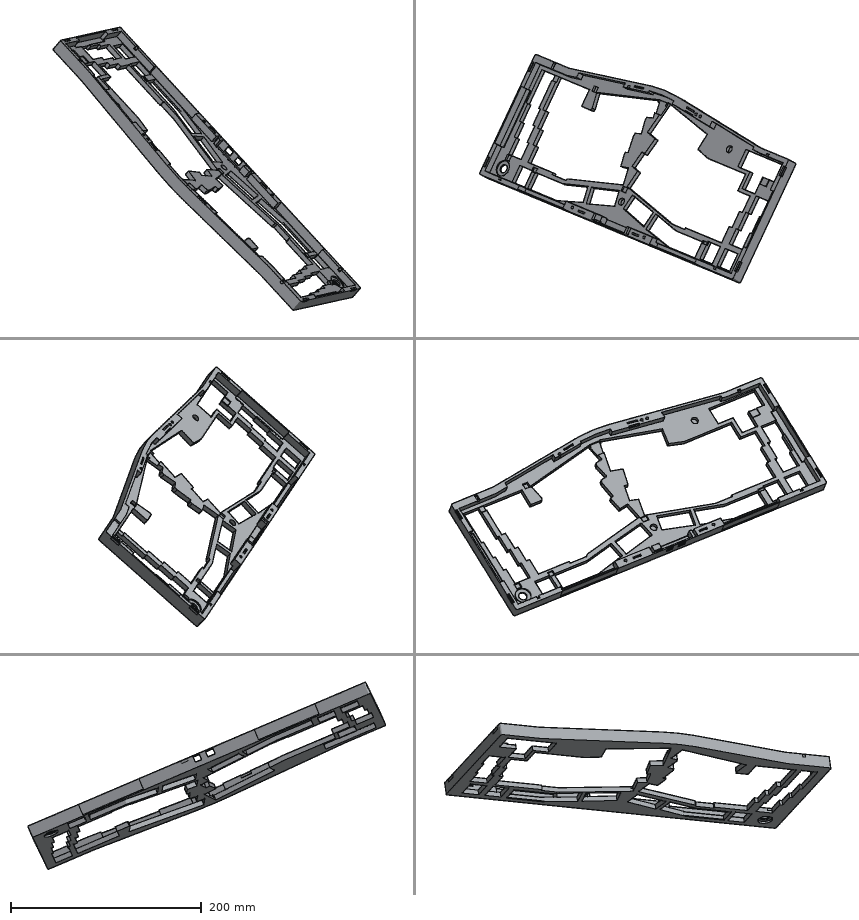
import cadquery as cq

LENGTH = 385.55
DEPTH = 139.2
HEIGHT = 13.5
PLATE = 5.5
CORNER_RADIUS = 2.0

TILT_X = -42.41
TILT_Y = 12.11
TILT_Z = 10.14
CORNER_POSITION = (-167.02, -86.73, 81.49)

LEFT_BEND = (46.0, 0.0)
LEFT_OF_NOSE = (181.5, -16.1)
NOSE_START = (196.5, -16.9)
NOSE_TIP = (199.5, -17.0)
NOSE_END = (202.5, -16.9)
RIGHT_OF_NOSE = (218.5, -15.9)
RIGHT_BEND = (333.6, 0.0)

SIDE_RIM = 5.5
BACK_RIM = 5.5
FRONT_RIM = 5.5
THIN_WALL = 1.5
FRONT_THIN_WALL = 2.8
GROOVE_DEPTH = 1.2
GROOVE_FLOOR = PLATE - GROOVE_DEPTH

SIDE_GROOVE_INNER = 8.0
SIDE_GROOVE = (37.0, 103.0)
BACK_GROOVE = (58.0, 127.0)
BACK_GROOVE_FLOOR = 1.5
BACK_THIN_WALL = 0.8
FRONT_GROOVES = ((52.0, 120.5), (254.0, 319.0))

BACK_BLOCKS_START = 127.0
BACK_BLOCK_WIDTH = 9.0
FRONT_BLOCKS = ((120.5, 181.5, 9.3), (218.5, 254.0, 7.5), (319.0, LENGTH, 8.0))

BAY = (166.0, 203.5)
BAY_WIDTH = 8.0
BAY_GAPS = ((160.0, 163.0), (212.5, 215.5))
PORTS = ((174.8, 183.0), (190.3, 197.2))
PORT_BOTTOM = 6.0
PORT_TOP = 12.0

SCREW_DIAMETER = 3.0
SCREW_DEPTH = 6.0
RIM_SCREWS = ((138.0, 134.0), (247.0, 134.0), (138.5, -6.0), (145.0, -6.5), (247.0, -6.0))
SLOT_DEPTH = 3.0
RIM_SLOTS = (
    (151.0, 134.8, 9.0, 1.8),
    (233.0, 134.8, 9.0, 1.8),
    (207.5, 137.2, 7.0, 1.6),
    (29.5, 133.5, 3.0, 6.0),
    (356.0, 133.5, 3.0, 6.0),
    (30.0, 5.0, 3.0, 4.0),
    (355.5, 4.5, 3.0, 7.0),
)
FRONT_SLOTS = ((149.5, 161.0, 3.6, 5.2), (149.5, 161.0, 8.0, 9.3), (228.0, 240.0, 3.4, 5.0))
CORNER_SLOT_LENGTH = 11.0
CORNER_SLOT_WIDTH = 2.0
CORNER_SLOT_INSET = 1.8
CORNER_SLOT_CENTRES = (14.0, 124.5)

PLATE_HOLE_DIAMETER = 7.5
PLATE_HOLE_DEPTH = 4.0
PLATE_HOLES = ((89.0, 13.5), (195.0, 108.0))
MOUNT_CENTRE = (366.0, 123.5)
MOUNT_BORE = 9.0
MOUNT_COUNTERBORE = 15.5
MOUNT_COUNTERBORE_DEPTH = 2.2
MOUNT_RECESS = 17.0
MOUNT_RECESS_DEPTH = 1.5
PLATE_POCKETS = (
    ((25.0, 31.0, 9.5, 8.0), 1.0),
    ((202.0, 1.0, 12.0, 14.5), 2.5),
    ((365.2, 111.0, 6.0, 6.0), 2.5),
    ((64.8, 114.3, 7.0, 3.0), 2.0),
    ((324.7, 112.5, 6.0, 5.0), 2.0),
    ((198.5, 95.0, 7.0, 5.5), 2.0),
    ((295.5, 9.5, 6.0, 6.0), 3.0),
    ((353.0, 15.2, 6.0, 6.5), 1.5),
)

FUNCTION_WINDOWS = (
    ((16, 111.5), (35.2, 111.5), (35.2, 131.8), (16, 131.8)),
    ((42.5, 111.5), (61.2, 111.5), (61.2, 131.8), (42.5, 131.8)),
    ((68.3, 114.2), (110, 114.2), (144.3, 106.2), (147.5, 125), (110, 133), (68.3, 133)),
    ((148.3, 105.6), (185, 97.3), (188.5, 114.2), (152, 123.5)),
    ((204.7, 98), (242, 106), (238.5, 124.2), (201.2, 115.2)),
    ((247, 106.5), (281, 114.2), (322.3, 114.2), (322.3, 133), (278, 133), (243.5, 124.2)),
    ((327, 113.8), (346, 113.8), (346, 133), (327, 133)),
)
CORNER_WINDOW = (
    (10.3, 7), (67.7, 7), (67.7, 27), (49.3, 27), (49.3, 46.5), (30, 46.5), (30, 27), (10.3, 27),
)
LEFT_COLUMN = (
    (8, 48), (27, 48), (27, 68), (30.3, 68), (30.3, 88), (32.8, 88), (32.8, 105.5),
    (13, 105.5), (13, 86.5), (10.5, 86.5), (10.5, 66.5), (8, 66.5),
)
RIGHT_COLUMN = (
    (356, 12), (375, 12), (375, 50.5), (372.7, 50.5), (372.7, 71), (370, 71), (370, 88.5),
    (366.8, 88.5), (366.8, 107.5), (348, 107.5), (348, 88.5), (350.5, 88.5), (350.5, 69.5),
    (353.5, 69.5), (353.5, 51), (356, 51),
)
LEFT_FIELD = (
    (34.8, 50.5), (53.5, 50.5), (53.5, 31), (112, 31), (129, 26.5), (126, 8.3), (195, -7),
    (203.3, 30.3), (189.6, 33.5), (194.3, 52.5), (198.5, 51.5), (202.5, 69.5), (192.7, 72),
    (196.7, 91.3), (119, 109.3), (98, 109.3), (98, 107.5), (43.2, 107.5), (43.2, 88.5),
    (39, 88.5), (39, 69.8), (34.8, 69.8),
)
RIGHT_FIELD = (
    (208.5, -6), (291.5, 11.8), (288, 29), (288.8, 31.5), (302.7, 31.5), (302.7, 12), (350, 12),
    (350, 50.5), (345.5, 50.5), (345.5, 70.5), (341.5, 70.5), (341.5, 88.5), (337.7, 88.5),
    (337.7, 107.5), (299.5, 107.5), (299.5, 109.7), (279, 109.7), (277, 107.5), (202.8, 91),
    (206.5, 72.3), (217, 74), (219.8, 61), (219.5, 58.5), (216, 57.5), (219, 39.5),
    (218.3, 36), (210.3, 34), (213.7, 19), (213, 15.8), (204.7, 14),
)


def prism(points, bottom, top):
    """Straight-sided solid over a closed outline."""
    return cq.Workplane("XY").workplane(offset=bottom).polyline(points).close().extrude(top - bottom)


def block(u_range, v_range, bottom, top):
    """Box between two U, two V and two heights."""
    u_low, u_high = u_range
    v_low, v_high = v_range
    size = (u_high - u_low, v_high - v_low, top - bottom)
    return cq.Workplane("XY").box(*size, centered=False).translate((u_low, v_low, bottom))


def pocket(centre_u, centre_v, length, width, bottom, top):
    """Box given by its centre and size."""
    u_range = (centre_u - length / 2, centre_u + length / 2)
    v_range = (centre_v - width / 2, centre_v + width / 2)
    return block(u_range, v_range, bottom, top)


def cylinder(centre, diameter, bottom, top):
    """Upright cylinder between two heights."""
    base = cq.Workplane("XY").workplane(offset=bottom).center(*centre)
    return base.circle(diameter / 2).extrude(top - bottom)


def mirrored(u_range):
    """The same stretch of U on the other side of the middle."""
    return (LENGTH - u_range[1], LENGTH - u_range[0])


def front_edge(u):
    """V of the frame's front edge at a given U."""
    bends = ((0.0, 0.0), LEFT_BEND, LEFT_OF_NOSE, NOSE_TIP, RIGHT_OF_NOSE, RIGHT_BEND, (LENGTH, 0.0))
    for (u_start, v_start), (u_end, v_end) in zip(bends, bends[1:]):
        if u <= u_end:
            return v_start + (v_end - v_start) * (u - u_start) / (u_end - u_start)
    return 0.0


def front_line(u_start, u_end, offset):
    """Points following the front edge at a distance behind it."""
    bends = (LEFT_BEND, LEFT_OF_NOSE, NOSE_TIP, RIGHT_OF_NOSE, RIGHT_BEND)
    between = [u for u, _ in bends if u_start < u < u_end]
    return [(u, front_edge(u) + offset) for u in (u_start, *between, u_end)]


def front_band(u_start, u_end, near, far, bottom, top):
    """Solid strip running along the front edge."""
    outline = front_line(u_start, u_end, near) + front_line(u_start, u_end, far)[::-1]
    return prism(outline, bottom, top)


def make_body():
    """Full-height slab with the bent front edge and rounded corners."""
    slab = (
        cq.Workplane("XY")
        .lineTo(*LEFT_BEND)
        .lineTo(*LEFT_OF_NOSE)
        .lineTo(*NOSE_START)
        .threePointArc(NOSE_TIP, NOSE_END)
        .lineTo(*RIGHT_OF_NOSE)
        .lineTo(*RIGHT_BEND)
        .lineTo(LENGTH, 0)
        .lineTo(LENGTH, DEPTH)
        .lineTo(0, DEPTH)
        .close()
        .extrude(HEIGHT)
    )
    end_faces = slab.faces("<X or >X")
    return end_faces.edges("|Z").fillet(CORNER_RADIUS)


def make_cavity():
    """Space above the plate and inside the rim, less the wide rim blocks."""
    outline = front_line(SIDE_RIM, LENGTH - SIDE_RIM, FRONT_RIM)
    outline += [(LENGTH - SIDE_RIM, DEPTH - BACK_RIM), (SIDE_RIM, DEPTH - BACK_RIM)]
    cavity = prism(outline, PLATE, HEIGHT)
    back_v = (DEPTH - BACK_BLOCK_WIDTH, DEPTH)
    blocks_u = (BACK_BLOCKS_START, LENGTH - BACK_BLOCKS_START)
    cavity = cavity.cut(block(blocks_u, back_v, PLATE, HEIGHT))
    for u_start, u_end, width in FRONT_BLOCKS:
        cavity = cavity.cut(front_band(u_start, u_end, 0, width, PLATE, HEIGHT))
    return cavity


def cut_grooves(body):
    """Thin the rim to a wall along each side and sink a groove beside the side and back walls."""
    side_u = (THIN_WALL, SIDE_GROOVE_INNER)
    for u_range in (side_u, mirrored(side_u)):
        body = body.cut(block(u_range, SIDE_GROOVE, GROOVE_FLOOR, HEIGHT))
    back_v = (DEPTH - BACK_RIM, DEPTH - BACK_THIN_WALL)
    for u_range in (BACK_GROOVE, mirrored(BACK_GROOVE)):
        body = body.cut(block(u_range, back_v, BACK_GROOVE_FLOOR, HEIGHT))
    for u_start, u_end in FRONT_GROOVES:
        body = body.cut(front_band(u_start, u_end, FRONT_THIN_WALL, FRONT_RIM, PLATE, HEIGHT))
    return body


def cut_connector_bay(body):
    """Bay inside the back wall, a narrow gap on each side and two ports through the wall."""
    bay_v = (DEPTH - BAY_WIDTH, DEPTH - THIN_WALL)
    body = body.cut(block(BAY, bay_v, GROOVE_FLOOR, HEIGHT))
    bay_mouth = (DEPTH - BACK_BLOCK_WIDTH, DEPTH - BAY_WIDTH)
    body = body.cut(block(BAY, bay_mouth, PLATE, HEIGHT))
    gap_v = (DEPTH - BACK_BLOCK_WIDTH, DEPTH - THIN_WALL)
    for u_range in BAY_GAPS:
        body = body.cut(block(u_range, gap_v, PLATE, HEIGHT))
    for u_range in PORTS:
        body = body.cut(block(u_range, (DEPTH - BAY_WIDTH, DEPTH), PORT_BOTTOM, PORT_TOP))
    return body


def cut_rim_pockets(body):
    """Screw holes and slots in the top of the rim."""
    for centre in RIM_SCREWS:
        body = body.cut(cylinder(centre, SCREW_DIAMETER, HEIGHT - SCREW_DEPTH, HEIGHT))
    for slot in RIM_SLOTS:
        body = body.cut(pocket(*slot, HEIGHT - SLOT_DEPTH, HEIGHT))
    for slot in FRONT_SLOTS:
        body = body.cut(front_band(*slot, HEIGHT - SLOT_DEPTH, HEIGHT))
    for u in (CORNER_SLOT_INSET, LENGTH - CORNER_SLOT_INSET):
        for v in CORNER_SLOT_CENTRES:
            slot = (u, v, CORNER_SLOT_WIDTH, CORNER_SLOT_LENGTH)
            body = body.cut(pocket(*slot, HEIGHT - SLOT_DEPTH, HEIGHT))
    return body


def cut_plate_pockets(body):
    """Blind holes, the counterbored mounting hole and shallow steps in the plate."""
    for centre in PLATE_HOLES:
        body = body.cut(cylinder(centre, PLATE_HOLE_DIAMETER, PLATE - PLATE_HOLE_DEPTH, PLATE))
    body = body.cut(cylinder(MOUNT_CENTRE, MOUNT_BORE, 0, PLATE))
    body = body.cut(cylinder(MOUNT_CENTRE, MOUNT_COUNTERBORE, 0, MOUNT_COUNTERBORE_DEPTH))
    body = body.cut(cylinder(MOUNT_CENTRE, MOUNT_RECESS, PLATE - MOUNT_RECESS_DEPTH, PLATE))
    for area, depth in PLATE_POCKETS:
        body = body.cut(pocket(*area, PLATE - depth, PLATE))
    return body


def cut_openings(body):
    """Key openings through the plate."""
    fields = (CORNER_WINDOW, LEFT_COLUMN, RIGHT_COLUMN, LEFT_FIELD, RIGHT_FIELD)
    for outline in FUNCTION_WINDOWS + fields:
        body = body.cut(prism(outline, 0, PLATE))
    return body


def tilt(body):
    """Turn the flat frame into its final position."""
    origin = (0, 0, 0)
    turned = body.rotate(origin, (1, 0, 0), TILT_X)
    turned = turned.rotate(origin, (0, 1, 0), TILT_Y)
    turned = turned.rotate(origin, (0, 0, 1), TILT_Z)
    return turned.translate(CORNER_POSITION)


frame = make_body().cut(make_cavity())
frame = cut_grooves(frame)
frame = cut_connector_bay(frame)
frame = cut_rim_pockets(frame)
frame = cut_plate_pockets(frame)
frame = cut_openings(frame)
result = tilt(frame)